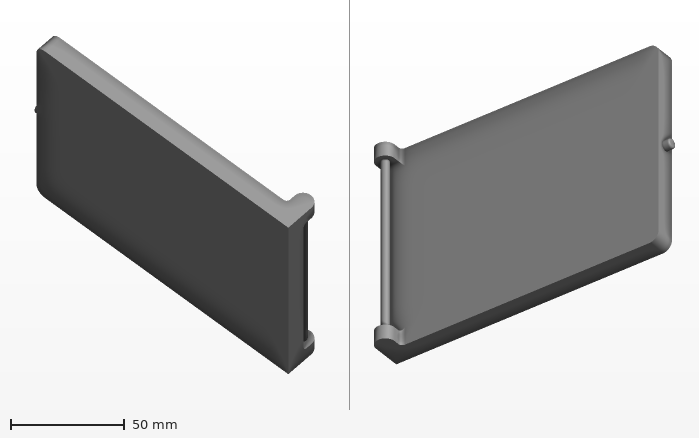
import cadquery as cq

total_length = 154.0
total_depth = 20.0
total_height = 105.0

plate_thickness = total_depth / 2
corner_radius = plate_thickness / 2

pin_diameter = plate_thickness / 2
pin_length = 4.0
pin_tip_radius = 1.0

pin_flat_depth = 0.5
pin_flat_start = 2.0
pin_slot_width = 2.0
pin_slot_depth = 2.0
pin_slot_start = 1.5

lug_width = plate_thickness
lug_height = 7.4
lug_root_radius = 2.0

rod_diameter = 4.2

plate_start = pin_length
plate_mid_y = plate_thickness / 2
mid_height = total_height / 2
lug_start = total_length - lug_width
lug_round_x = total_length - lug_width / 2
lug_round_y = total_depth - lug_width / 2
lug_bottoms = (0, total_height - lug_height)


def make_plate():
    plate = cq.Workplane("XY", origin=(plate_start, 0, 0)).box(
        total_length - plate_start, plate_thickness, total_height, centered=False
    )
    return plate.edges("|Y and <X").fillet(corner_radius)


def make_lug(bottom):
    """Lug standing off the back of the plate, with a fully rounded free end."""
    return (
        cq.Workplane("XY", origin=(0, 0, bottom))
        .moveTo(lug_start, 0)
        .lineTo(total_length, 0)
        .lineTo(total_length, lug_round_y)
        .threePointArc((lug_round_x, total_depth), (lug_start, lug_round_y))
        .close()
        .extrude(lug_height)
    )


def fillet_lug_roots(body):
    """Fillet the two inward sides of each lug where it meets the back of the plate."""
    margin = 0.2
    root_edges = cq.selectors.BoxSelector(
        (lug_start - margin, plate_thickness - margin, -margin),
        (total_length - margin, plate_thickness + margin, total_height + margin),
    )
    return body.edges(root_edges).fillet(lug_root_radius)


def make_rod():
    """Rod between the lugs, ending halfway into each of them."""
    return (
        cq.Workplane("XY", origin=(lug_round_x, lug_round_y, lug_height / 2))
        .circle(rod_diameter / 2)
        .extrude(total_height - lug_height)
    )


def make_pin_cutter(start, width, depth):
    """Block that cuts down from the top of the pin, from start up to the plate."""
    floor = mid_height + pin_diameter / 2 - depth
    return cq.Workplane("XY", origin=(start, plate_mid_y, floor)).box(
        plate_start - start, width, depth, centered=(False, True, False)
    )


def make_pin():
    """Round-tipped pin, rooted inside the plate, with its flat and slot on top."""
    pin = (
        cq.Workplane("YZ", origin=(0, plate_mid_y, mid_height))
        .circle(pin_diameter / 2)
        .extrude(2 * pin_length)
        .faces("<X")
        .edges()
        .fillet(pin_tip_radius)
    )
    pin = pin.cut(make_pin_cutter(pin_flat_start, pin_diameter, pin_flat_depth))
    return pin.cut(make_pin_cutter(pin_slot_start, pin_slot_width, pin_slot_depth))


body = make_plate()
for lug_bottom in lug_bottoms:
    body = body.union(make_lug(lug_bottom))
body = fillet_lug_roots(body)

result = body.union(make_rod()).union(make_pin())